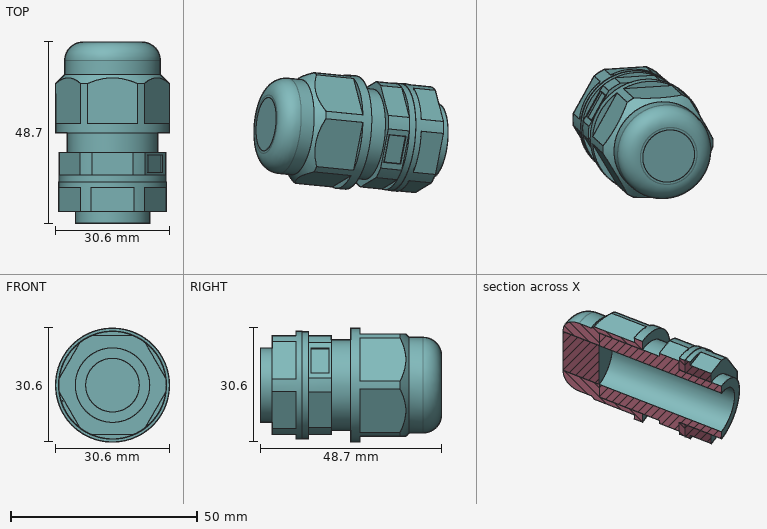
import cadquery as cq
import math


STEM_END = 0.0
LOCKNUT_FRONT = 3.15
LOCKNUT_FLATS_END = 9.55
GASKET_FRONT = 11.15
HEX_FRONT = 12.95
HEX_BACK = 19.05
CAP_FRONT = 24.25
CAP_FLATS_START = 26.8
CAP_CHAMFER_START = 37.5
CAP_BACK = 48.67

STEM_RADIUS = 10.0
BORE_RADIUS = 7.2
NECK_RADIUS = 12.2
HEX_CORNER_RADIUS = 14.4
LOCKNUT_RADIUS = 14.5
CAP_RADIUS = 15.31
CAP_DOME_RADIUS = 12.87
CAP_DOME_ROUND = 5.0
CAP_END_RADIUS = CAP_DOME_RADIUS - CAP_DOME_ROUND
CAP_CHAMFER = CAP_RADIUS - CAP_DOME_RADIUS

HEX_SIDES = 6
BODY_ACROSS_FLATS = 26.6
LOCKNUT_ACROSS_FLATS = 26.6
CAP_ACROSS_FLATS = 27.5

PANEL_LENGTH = 7.75
PANEL_WIDTH = 4.8
PANEL_DEPTH = 0.5
PANEL_ANGLES = (60, 240)


def cylinder(radius, start, end):
    """Cylinder about the Y axis between two stations."""
    plane = cq.Workplane("XZ", origin=(0, start, 0))
    return plane.circle(radius).extrude(start - end)


def hexagon(across_flats, start, end):
    """Hexagonal prism about the Y axis between two stations."""
    corner_diameter = across_flats / math.cos(math.pi / HEX_SIDES)
    plane = cq.Workplane("XZ", origin=(0, start, 0))
    return plane.polygon(HEX_SIDES, corner_diameter).extrude(start - end)


def cut_flats(round_blank, across_flats, start, end):
    """Mill six flats on a round blank, only between two stations."""
    waste = cylinder(across_flats, start, end).cut(hexagon(across_flats, start, end))
    return round_blank.cut(waste)


def label_panel(angle):
    """Block that sinks one label panel into a flat of the body hexagon."""
    block = cq.Workplane("XY").box(PANEL_LENGTH, PANEL_WIDTH, 2 * PANEL_DEPTH)
    block = block.translate((0, (HEX_FRONT + HEX_BACK) / 2, BODY_ACROSS_FLATS / 2))
    return block.rotate((0, 0, 0), (0, 1, 0), angle)


def make_body():
    """Gland body: stem, rounded-corner hexagon and neck, with a bore right through."""
    hex_section = hexagon(BODY_ACROSS_FLATS, HEX_FRONT, HEX_BACK)
    hex_section = hex_section.intersect(cylinder(HEX_CORNER_RADIUS, HEX_FRONT, HEX_BACK))
    for angle in PANEL_ANGLES:
        hex_section = hex_section.cut(label_panel(angle))
    stem = cylinder(STEM_RADIUS, STEM_END, HEX_FRONT)
    neck = cylinder(NECK_RADIUS, HEX_BACK, CAP_CHAMFER_START)
    body = stem.union(hex_section).union(neck)
    return body.cut(cylinder(BORE_RADIUS, STEM_END, CAP_CHAMFER_START))


def make_gasket():
    """Flat ring around the stem, between the body hexagon and the locknut."""
    ring = cylinder(HEX_CORNER_RADIUS, GASKET_FRONT, HEX_FRONT)
    return ring.cut(cylinder(STEM_RADIUS, GASKET_FRONT, HEX_FRONT))


def make_locknut():
    """Locknut on the stem, with a round flange against the gasket."""
    nut = cylinder(LOCKNUT_RADIUS, LOCKNUT_FRONT, GASKET_FRONT)
    nut = cut_flats(nut, LOCKNUT_ACROSS_FLATS, LOCKNUT_FRONT, LOCKNUT_FLATS_END)
    return nut.cut(cylinder(STEM_RADIUS, LOCKNUT_FRONT, GASKET_FRONT))


def make_cap():
    """Domed cap nut over the neck, with a round flange and an opening for the seal."""
    shoulder_end = CAP_CHAMFER_START + CAP_CHAMFER
    round_start = CAP_BACK - CAP_DOME_ROUND
    round_offset = CAP_DOME_ROUND * math.sqrt(0.5)
    round_middle = (CAP_END_RADIUS + round_offset, round_start + round_offset)
    profile = (
        cq.Workplane("XY")
        .moveTo(NECK_RADIUS, CAP_FRONT)
        .lineTo(CAP_RADIUS, CAP_FRONT)
        .lineTo(CAP_RADIUS, CAP_CHAMFER_START)
        .lineTo(CAP_DOME_RADIUS, shoulder_end)
        .lineTo(CAP_DOME_RADIUS, round_start)
        .threePointArc(round_middle, (CAP_END_RADIUS, CAP_BACK))
        .lineTo(BORE_RADIUS, CAP_BACK)
        .lineTo(BORE_RADIUS, CAP_CHAMFER_START)
        .lineTo(NECK_RADIUS, CAP_CHAMFER_START)
        .close()
    )
    cap = profile.revolve(360, (0, 0, 0), (0, 1, 0))
    return cut_flats(cap, CAP_ACROSS_FLATS, CAP_FLATS_START, shoulder_end)


def make_seal():
    """Plug that fills the cap opening and closes the far end of the bore."""
    return cylinder(BORE_RADIUS, CAP_CHAMFER_START, CAP_BACK)


body = make_body().solids()
gasket = make_gasket().solids()
locknut = make_locknut().solids()
cap = make_cap().solids()
seal = make_seal().solids()

result = cq.Compound.makeCompound([body.val(), gasket.val(), locknut.val(), cap.val(), seal.val()])